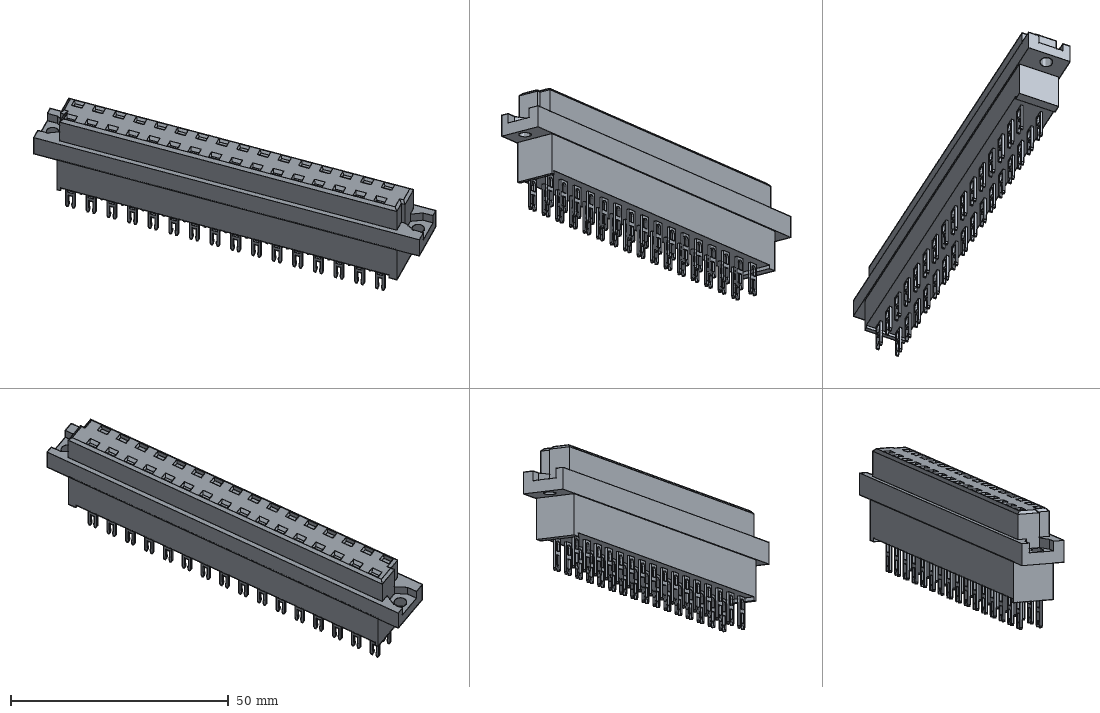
import cadquery as cq


pin_length = 7.5
foot_height = 0.9
body_bottom = pin_length
flange_bottom = 16.3
flange_thickness = 5.1
flange_top = flange_bottom + flange_thickness
total_height = 28.0

flange_length = 94.9
flange_width = 10.5
recess_depth = 2.3
recess_half_width = 3.0
recess_neck_half_width = 1.6
screw_hole_diameter = 2.8
screw_hole_x = 45.0
screw_hole_y = 0.4

body_length = 83.7
body_width = 10.0
left_foot_length = 0.9
right_foot_length = 2.0

block_length = 84.8
block_short_length = 82.9
block_width = 8.3
block_step_y = -1.2
block_chamfer_height = 0.7
block_chamfer_run = 0.7

contacts_per_row = 16
row_length = 76.2
row_center_x = -1.3
contact_pitch = row_length / (contacts_per_row - 1)
contact_xs = [row_center_x - row_length / 2 + i * contact_pitch for i in range(contacts_per_row)]
row_sides = (-1, 1)

entry_row_y = 2.6
entry_depth = 0.8
entry_floor_length = 2.0
entry_floor_width = 0.9
entry_mouth_length = 2.6
entry_mouth_inner_y = 1.5
entry_mouth_outer_y = 3.3

pin_row_y = 2.5
pin_width = 2.3
pin_thickness = 0.6
pin_embed = 0.95
fork_slot_width = 1.0
fork_slot_top = 3.6
nub_gap = 0.8
nub_bottom = 0.9
nub_top = 1.2
nub_slope_top = 1.4
tip_gap = 1.1
tip_width = 1.8
tip_taper_height = 0.5
window_width = 1.3
window_bottom = 4.6
window_top = 6.9


def centered_box(length, width, bottom, top):
    """Box centred on the Z axis, between two heights."""
    return cq.Workplane("XY").workplane(offset=bottom).rect(length, width).extrude(top - bottom)


def make_lower_body():
    """Body whose underside is relieved between the two end feet."""
    foot_bottom = body_bottom - foot_height
    relief_start = -body_length / 2 + left_foot_length
    relief_end = body_length / 2 - right_foot_length
    relief = cq.Workplane("XY").box(
        relief_end - relief_start, body_width, foot_height, centered=(False, True, False)
    ).translate((relief_start, 0, foot_bottom))
    return centered_box(body_length, body_width, foot_bottom, flange_bottom).cut(relief)


def block_outline(inset):
    """Stepped outline of the plug block, moved inward by the inset."""
    long_x = block_length / 2 - inset
    short_x = block_short_length / 2 - inset
    back_y = block_width / 2 - inset
    step_y = block_step_y + inset
    return [
        (-long_x, back_y), (long_x, back_y),
        (long_x, step_y), (short_x, step_y),
        (short_x, -back_y), (-short_x, -back_y),
        (-short_x, step_y), (-long_x, step_y),
    ]


def make_plug_block():
    """Plug block, based on the recess floors, with a chamfered top rim."""
    block_bottom = flange_top - recess_depth
    rim_bottom = total_height - block_chamfer_height
    straight_part = (
        cq.Workplane("XY").workplane(offset=block_bottom)
        .polyline(block_outline(0)).close().extrude(rim_bottom - block_bottom)
    )
    rim = (
        cq.Workplane("XY").workplane(offset=rim_bottom)
        .polyline(block_outline(0)).close()
        .workplane(offset=block_chamfer_height)
        .polyline(block_outline(block_chamfer_run)).close()
        .loft(ruled=True)
    )
    return straight_part.union(rim)


def make_end_recess(side):
    """Recess cutter, open at the flange end and tapering toward the plug block."""
    end_x = side * flange_length / 2
    taper_x = side * screw_hole_x
    neck_x = side * block_length / 2
    inner_x = side * block_short_length / 2
    upper_edge = [
        (end_x, recess_half_width), (taper_x, recess_half_width),
        (neck_x, recess_neck_half_width), (inner_x, recess_neck_half_width),
    ]
    lower_edge = [(x, -y) for x, y in reversed(upper_edge)]
    return (
        cq.Workplane("XY").workplane(offset=flange_top - recess_depth)
        .polyline(upper_edge + lower_edge).close().extrude(recess_depth)
        .translate((0, screw_hole_y, 0))
    )


def make_flange():
    """Flange plate with its end recesses and screw holes."""
    flange = centered_box(flange_length, flange_width, flange_bottom, flange_top)
    for side in (-1, 1):
        flange = flange.cut(make_end_recess(side))
    screw_holes = (
        cq.Workplane("XY").workplane(offset=flange_bottom)
        .pushPoints([(-screw_hole_x, screw_hole_y), (screw_hole_x, screw_hole_y)])
        .circle(screw_hole_diameter / 2).extrude(flange_thickness)
    )
    return flange.cut(screw_holes)


def make_entry(row_side):
    """Cutter for one tapered entry pocket at X = 0, in the row on the given side of Y."""
    floor_y = row_side * entry_row_y
    mouth_y = row_side * (entry_mouth_inner_y + entry_mouth_outer_y) / 2
    mouth_width = entry_mouth_outer_y - entry_mouth_inner_y
    return (
        cq.Workplane("XY").workplane(offset=total_height - entry_depth)
        .center(0, floor_y).rect(entry_floor_length, entry_floor_width)
        .workplane(offset=entry_depth)
        .center(0, mouth_y - floor_y).rect(entry_mouth_length, mouth_width)
        .loft(ruled=True)
    )


def make_pin():
    """Flat forked pin at X = 0, Y = 0, with a round-topped window above the fork."""
    right_half = [
        (fork_slot_width / 2, fork_slot_top),
        (fork_slot_width / 2, nub_slope_top),
        (nub_gap / 2, nub_top),
        (nub_gap / 2, nub_bottom),
        (tip_gap / 2, 0),
        (tip_width / 2, 0),
        (pin_width / 2, tip_taper_height),
        (pin_width / 2, pin_length + pin_embed),
    ]
    left_half = [(-x, z) for x, z in reversed(right_half)]
    blade = (
        cq.Workplane("XZ").polyline(right_half + left_half).close()
        .extrude(pin_thickness / 2, both=True)
    )
    window_radius = window_width / 2
    window = (
        cq.Workplane("XZ").moveTo(-window_radius, window_bottom)
        .lineTo(window_radius, window_bottom)
        .lineTo(window_radius, window_top - window_radius)
        .threePointArc((0, window_top), (-window_radius, window_top - window_radius))
        .close().extrude(pin_thickness / 2, both=True)
    )
    return blade.cut(window)


def copies_along_row(shape, y):
    """One copy of the shape at every contact place of a row."""
    return [shape.translate((x, y, 0)).val() for x in contact_xs]


pin = make_pin()
entries = []
pins = []
for row_side in row_sides:
    entries += copies_along_row(make_entry(row_side), 0)
    pins += copies_along_row(pin, row_side * pin_row_y)

housing = make_lower_body().union(make_flange()).union(make_plug_block())
housing = housing.cut(cq.Compound.makeCompound(entries))

result = housing.union(cq.Compound.makeCompound(pins))